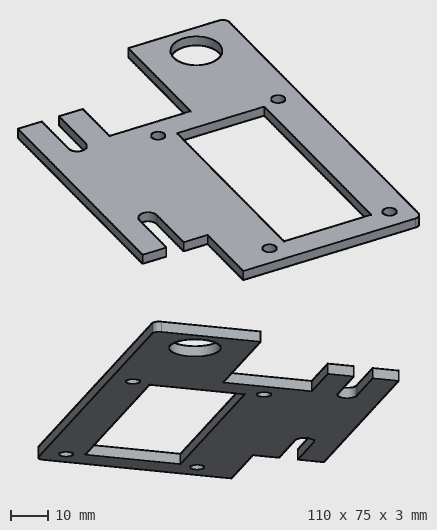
import cadquery as cq

length = 110.0
width = 75.0
thickness = 3.0
corner_radius = 2.0

foot_length = 70.0
foot_height = 20.0
foot_left = (length - foot_length) / 2
foot_right = foot_left + foot_length

notch_right = 35.0
arm_height = 30.0
arm_bottom = width - arm_height

slot_width = 5.3
slot_depth = 17.7
slot_y = foot_height / 2

window_length = 60.0
window_height = 26.8
window_center = (72.6, 50.0)

screw_diameter = 3.8
screw_spacing_x = 62.5
screw_spacing_y = 37.0
screw_center = (72.5, 50.0)

round_hole_diameter = 14.0
round_hole_center = (10.0, width - 14.5)


def make_plate():
    """Stepped plate with its two upper corners rounded."""
    outline = [
        (foot_left, 0),
        (foot_right, 0),
        (foot_right, foot_height),
        (length, foot_height),
        (length, width),
        (0, width),
        (0, arm_bottom),
        (notch_right, arm_bottom),
        (notch_right, foot_height),
        (foot_left, foot_height),
    ]
    plate = cq.Workplane("XY").polyline(outline).close().extrude(thickness)
    return plate.edges("|Z").edges(">Y").fillet(corner_radius)


def make_slot(end_x):
    """Round-ended cutter centred on an end face of the foot."""
    return (
        cq.Workplane("XY")
        .center(end_x, slot_y)
        .slot2D(2 * slot_depth, slot_width)
        .extrude(thickness)
    )


def make_window():
    return (
        cq.Workplane("XY")
        .center(*window_center)
        .rect(window_length, window_height)
        .extrude(thickness)
    )


def make_screw_holes():
    return (
        cq.Workplane("XY")
        .center(*screw_center)
        .rect(screw_spacing_x, screw_spacing_y, forConstruction=True)
        .vertices()
        .circle(screw_diameter / 2)
        .extrude(thickness)
    )


def make_round_hole():
    return (
        cq.Workplane("XY")
        .center(*round_hole_center)
        .circle(round_hole_diameter / 2)
        .extrude(thickness)
    )


result = make_plate()
for end_x in (foot_left, foot_right):
    result = result.cut(make_slot(end_x))
result = result.cut(make_window())
result = result.cut(make_screw_holes())
result = result.cut(make_round_hole())